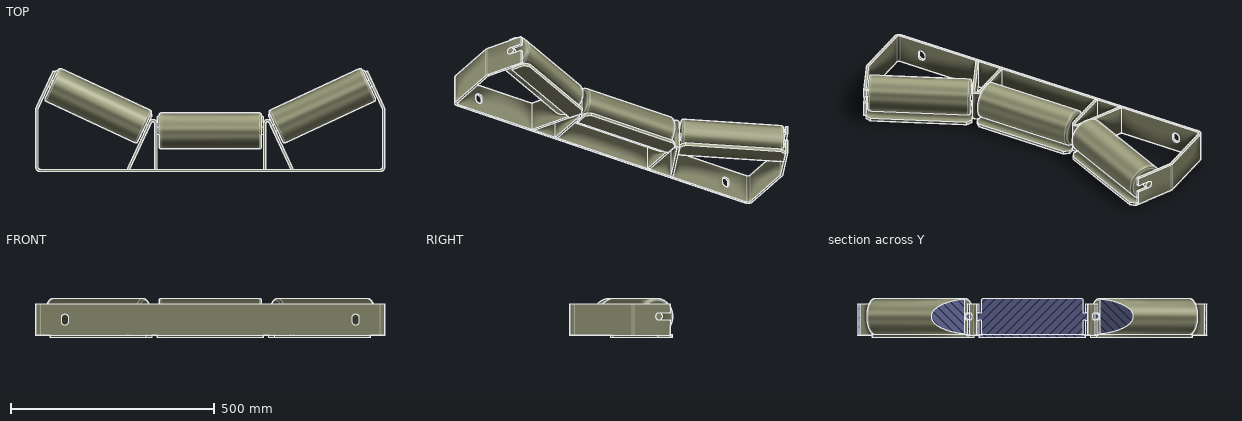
import cadquery as cq
import math


frame_length = 860.0
frame_height = 77.0
sheet = 6.0
inner_bend_radius = 6.0
outer_bend_radius = inner_bend_radius + sheet
mount_hole_spacing = 715.5
mount_hole_length = 27.0
mount_hole_width = 18.0
mount_hole_z = 39.0

roller_radius = 45.0
roller_length = 252.0
roller_edge_radius = 5.0
shaft_diameter = 18.0
axis_z = 46.5
seat_gap = 131.0
shaft_length = 2 * (seat_gap + sheet)

trough_angle = 25.0
centre_roller_y = 101.0
wing_x = 276.0
wing_y = 162.5
wall_above_axis = 31.0

plate_bottom_z = -6.0
plate_corner_run = 12.0
plate_corner_rise = 10.0

bracket_bend_radius = 4.0

cos_a = math.cos(math.radians(trough_angle))
sin_a = math.sin(math.radians(trough_angle))

seats = [
    (-wing_x, wing_y, -trough_angle),
    (0, centre_roller_y, 0),
    (wing_x, wing_y, trough_angle),
]


def place(body, seat):
    """Move a body built about the origin, along X, to a roller seat."""
    x, y, turn = seat
    return body.rotate((0, 0, 0), (0, 0, 1), turn).translate((x, y, 0))


def from_left_wing(along, across):
    """Point along the left roller axis (inwards positive) and across it (+Y side positive)."""
    return (-wing_x + along * cos_a + across * sin_a, wing_y - along * sin_a + across * cos_a)


def left_wing_line_y(along, x):
    """Y where a line square to the left roller's axis crosses the given X."""
    line_x, line_y = from_left_wing(along, 0)
    return line_y + (x - line_x) * cos_a / sin_a


def mirrored(points):
    return [(-x, y) for x, y in reversed(points)]


def rod(radius, length):
    """Round rod on the local roller axis, centred along X."""
    return cq.Workplane("YZ", origin=(-length / 2, 0, axis_z)).circle(radius).extrude(length)


def cut_shaft_bores(body):
    """Clear the space of every roller shaft."""
    for seat in seats:
        body = body.cut(place(rod(shaft_diameter / 2, shaft_length), seat))
    return body


def make_frame():
    half = frame_length / 2
    inner_half = half - sheet
    outer_left = [
        (-half, 0),
        (-half, left_wing_line_y(-seat_gap - sheet, -half)),
        from_left_wing(-seat_gap - sheet, wall_above_axis),
    ]
    inner_left = [
        from_left_wing(-seat_gap, wall_above_axis),
        (-inner_half, left_wing_line_y(-seat_gap, -inner_half)),
        (-inner_half, sheet),
    ]
    outline = outer_left + inner_left + mirrored(inner_left) + mirrored(outer_left)
    frame = cq.Workplane("XY").polyline(outline).close().extrude(frame_height)

    bends = [
        (*outer_left[0], outer_bend_radius),
        (*outer_left[1], outer_bend_radius),
        (*inner_left[1], inner_bend_radius),
        (*inner_left[2], inner_bend_radius),
    ]
    for bend_x, bend_y, radius in bends:
        for x in (bend_x, -bend_x):
            bend = cq.selectors.NearestToPointSelector((x, bend_y, frame_height / 2))
            frame = frame.edges("|Z").edges(bend).fillet(radius)

    mount_holes = (
        cq.Workplane("XZ", origin=(0, 0, mount_hole_z))
        .pushPoints([(-mount_hole_spacing / 2, 0), (mount_hole_spacing / 2, 0)])
        .slot2D(mount_hole_length, mount_hole_width, 90)
        .extrude(-sheet)
    )
    frame = frame.cut(mount_holes)

    for seat, side in ((seats[0], -1), (seats[2], 1)):
        slot_x = side * (seat_gap + sheet / 2)
        channel = cq.Workplane("XY", origin=(slot_x, 0, axis_z)).box(
            2 * sheet, wall_above_axis + sheet, shaft_diameter, centered=(True, False, True)
        )
        frame = frame.cut(place(channel, seat))
    return cut_shaft_bores(frame)


def make_left_bracket():
    """Sheet folded over into an upright leg and a leg square to the left roller."""
    upright_outer_x = -seat_gap
    upright_inner_x = upright_outer_x - sheet

    bend_x = upright_inner_x - bracket_bend_radius
    slant_to_bend = seat_gap + sheet + bracket_bend_radius
    bend_y = left_wing_line_y(slant_to_bend, bend_x)

    def bend_point(radius, angle):
        a = math.radians(angle)
        return (bend_x + radius * math.cos(a), bend_y + radius * math.sin(a))

    slant_end = 180 - trough_angle
    middle = slant_end / 2
    outer_radius = bracket_bend_radius + sheet

    def foot(along):
        line_x, line_y = from_left_wing(along, 0)
        return (line_x + (sheet - line_y) * sin_a / cos_a, sheet)

    return (
        cq.Workplane("XY")
        .moveTo(upright_outer_x, sheet)
        .lineTo(*bend_point(outer_radius, 0))
        .threePointArc(bend_point(outer_radius, middle), bend_point(outer_radius, slant_end))
        .lineTo(*foot(seat_gap))
        .lineTo(*foot(seat_gap + sheet))
        .lineTo(*bend_point(bracket_bend_radius, slant_end))
        .threePointArc(bend_point(bracket_bend_radius, middle), bend_point(bracket_bend_radius, 0))
        .lineTo(upright_inner_x, sheet)
        .close()
        .extrude(frame_height)
    )


def make_brackets():
    left = cut_shaft_bores(make_left_bracket())
    return [left, left.mirror("YZ")]


def make_roller():
    """Roller with its shaft ends, lying along X."""
    drum = rod(roller_radius, roller_length).faces("<X or >X").edges().fillet(roller_edge_radius)
    return drum.union(rod(shaft_diameter / 2, shaft_length))


def make_guard_plate():
    """Flat plate touching the underside of a roller, on the +Y side of its axis."""
    top_z = axis_z - roller_radius
    corner = [
        (-seat_gap, 0),
        (-seat_gap, roller_radius - plate_corner_rise),
        (-seat_gap + plate_corner_run, roller_radius),
    ]
    return (
        cq.Workplane("XY", origin=(0, 0, plate_bottom_z))
        .polyline(corner + mirrored(corner))
        .close()
        .extrude(top_z - plate_bottom_z)
    )


frame = make_frame()
brackets = make_brackets()
rollers = [place(make_roller(), seat) for seat in seats]
guard_plates = [place(make_guard_plate(), seat) for seat in seats]

bodies = [frame, *brackets, *rollers, *guard_plates]
result = cq.Compound.makeCompound([body.val() for body in bodies])